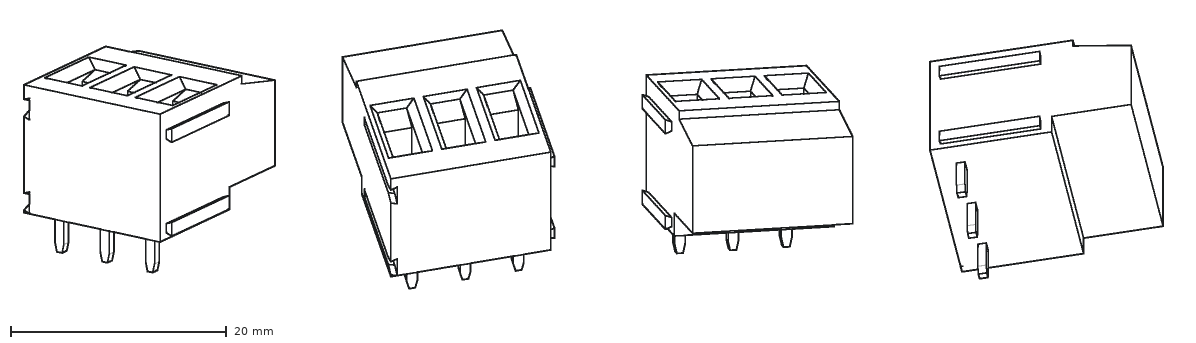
import cadquery as cq


POLES = 3
PITCH = 5.07
WIDTH = 15.24
DEPTH = 19.0
HEIGHT = 12.5
TOP_DEPTH = 13.5
TOP_STEP = 0.8
BACK_DROP = 1.95
FOOT_DEPTH = 11.5
FOOT_HEIGHT = 2.18

ENTRY_WIDTH = 4.18
ENTRY_FRONT = 2.75
ENTRY_BACK = 10.05
FUNNEL_DEPTH = 1.1
SHAFT_WIDTH = 2.8
SHAFT_FRONT = 3.91
SHAFT_DEPTH = HEIGHT / 2
LEDGE_FRONT = 7.95
LEDGE_DROP = 0.57

DOVETAIL_DEPTH = 0.6
DOVETAIL_NECK = 0.87
DOVETAIL_WIDENING = 0.23
MOUTH_NECK = 1.67
MOUTH_LENGTH = 1.0
DOVETAIL_END = 10.49
LOWER_DOVETAIL_HEIGHT = 1.08
UPPER_DOVETAIL_INSET = 2.26
DOVETAIL_LEVELS = (LOWER_DOVETAIL_HEIGHT, HEIGHT - UPPER_DOVETAIL_INSET)

PIN_WIDTH = 1.0
PIN_THICKNESS = 0.8
PIN_FRONT = 2.1
PIN_LENGTH = 3.99
PIN_TIP_WIDTH = 0.59
PIN_TIP_LENGTH = 0.91

pole_centers = [WIDTH / 2 + (i - (POLES - 1) / 2) * PITCH for i in range(POLES)]


def make_housing():
    """Side profile with a sloped rear top and a shorter foot, swept over the width."""
    profile = [
        (0, 0),
        (FOOT_DEPTH, 0),
        (FOOT_DEPTH, FOOT_HEIGHT),
        (DEPTH, FOOT_HEIGHT),
        (DEPTH, HEIGHT - BACK_DROP),
        (TOP_DEPTH, HEIGHT - TOP_STEP),
        (TOP_DEPTH, HEIGHT),
        (0, HEIGHT),
    ]
    return cq.Workplane("YZ").polyline(profile).close().extrude(WIDTH)


def make_wire_entry(x):
    """Cavity of one wire entry; its back wall is vertical all the way down."""
    shaft_top = HEIGHT - FUNNEL_DEPTH
    entry_length = ENTRY_BACK - ENTRY_FRONT
    shaft_length = ENTRY_BACK - SHAFT_FRONT
    funnel = (
        cq.Workplane("XY", origin=(x, ENTRY_BACK, shaft_top))
        .center(0, -shaft_length / 2)
        .rect(SHAFT_WIDTH, shaft_length)
        .workplane(offset=FUNNEL_DEPTH)
        .center(0, (shaft_length - entry_length) / 2)
        .rect(ENTRY_WIDTH, entry_length)
        .loft(ruled=True)
    )
    shaft_profile = [
        (ENTRY_BACK, shaft_top),
        (LEDGE_FRONT, shaft_top - LEDGE_DROP),
        (LEDGE_FRONT, HEIGHT - SHAFT_DEPTH),
        (SHAFT_FRONT, HEIGHT - SHAFT_DEPTH),
        (SHAFT_FRONT, shaft_top),
    ]
    shaft = (
        cq.Workplane("YZ", origin=(x, 0, 0))
        .polyline(shaft_profile)
        .close()
        .extrude(SHAFT_WIDTH / 2, both=True)
    )
    return funnel.union(shaft)


def dovetail_section(y, x, z, neck):
    """Closed dovetail wire across Y, narrow at x and wider one dovetail depth further along X."""
    narrow = neck / 2
    wide = narrow + DOVETAIL_WIDENING
    corners = [
        (x, y, z - narrow),
        (x + DOVETAIL_DEPTH, y, z - wide),
        (x + DOVETAIL_DEPTH, y, z + wide),
        (x, y, z + narrow),
    ]
    return cq.Wire.makePolygon([cq.Vector(*corner) for corner in corners], close=True)


def make_dovetail(x, z):
    """Straight dovetail bar behind the slot mouth."""
    sections = [dovetail_section(y, x, z, DOVETAIL_NECK) for y in (MOUTH_LENGTH, DOVETAIL_END)]
    return cq.Workplane(cq.Solid.makeLoft(sections, True))


def make_slot(z):
    """Dovetail slot in the left side with a mouth that flares towards the front."""
    sections = [
        dovetail_section(0, 0, z, MOUTH_NECK),
        dovetail_section(MOUTH_LENGTH, 0, z, DOVETAIL_NECK),
    ]
    mouth = cq.Workplane(cq.Solid.makeLoft(sections, True))
    return make_dovetail(0, z).union(mouth)


def make_pin(x):
    """Flat pin below the housing, tapered in width at its tip."""
    taper_start = PIN_TIP_LENGTH - PIN_LENGTH
    outline = [
        (x - PIN_WIDTH / 2, 0),
        (x - PIN_WIDTH / 2, taper_start),
        (x - PIN_TIP_WIDTH / 2, -PIN_LENGTH),
        (x + PIN_TIP_WIDTH / 2, -PIN_LENGTH),
        (x + PIN_WIDTH / 2, taper_start),
        (x + PIN_WIDTH / 2, 0),
    ]
    pin_plane = cq.Workplane("XZ", origin=(0, PIN_FRONT, 0))
    return pin_plane.polyline(outline).close().extrude(-PIN_THICKNESS)


result = make_housing()

for level in DOVETAIL_LEVELS:
    result = result.cut(make_slot(level))
    result = result.union(make_dovetail(WIDTH, level))

for center in pole_centers:
    result = result.cut(make_wire_entry(center))
    result = result.union(make_pin(center))